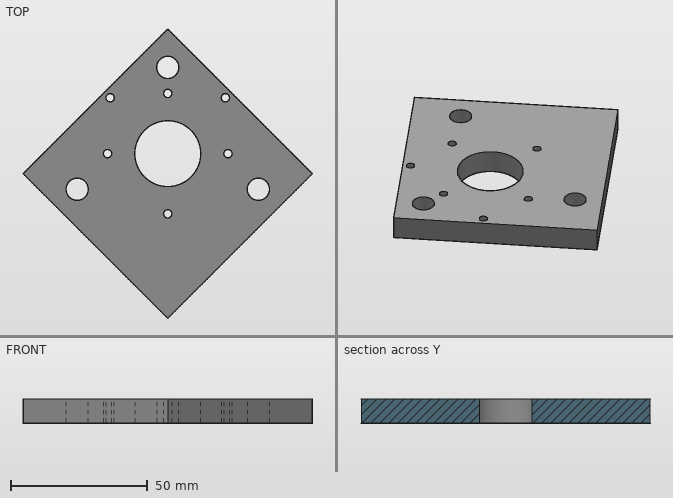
import cadquery as cq

diagonal = 105.9
thickness = 9.0
half_diagonal = diagonal / 2

bore_diameter = 24.0
bore_y = 7.3
small_hole_diameter = 3.0
ring_radius = 22.0

edge_hole_x = 21.1
edge_hole_y = 27.7

mounting_hole_diameter = 8.0
top_mount_y = 38.9
side_mount_x = 33.1
side_mount_y = -5.7

ring_holes = [
    (0, bore_y + ring_radius),
    (0, bore_y - ring_radius),
    (ring_radius, bore_y),
    (-ring_radius, bore_y),
]
edge_holes = [(side * edge_hole_x, edge_hole_y) for side in (-1, 1)]
mounting_holes = [(0, top_mount_y)] + [(side * side_mount_x, side_mount_y) for side in (-1, 1)]


def through_holes(centers, diameter):
    """Cylinders through the full plate thickness."""
    return cq.Workplane("XY").pushPoints(centers).circle(diameter / 2).extrude(thickness)


plate = (
    cq.Workplane("XY")
    .polyline([(half_diagonal, 0), (0, half_diagonal), (-half_diagonal, 0), (0, -half_diagonal)])
    .close()
    .extrude(thickness)
)

result = (
    plate
    .cut(through_holes([(0, bore_y)], bore_diameter))
    .cut(through_holes(ring_holes + edge_holes, small_hole_diameter))
    .cut(through_holes(mounting_holes, mounting_hole_diameter))
)